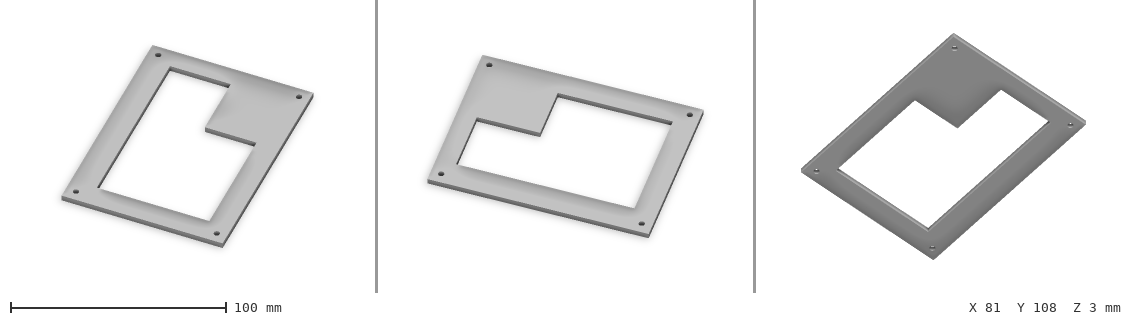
import cadquery as cq

width = 81.0
length = 108.0
thickness = 3.0

hole_diameter = 2.9
hole_inset = 5.1

left_margin = 13.0
right_margin = 11.5
bottom_margin = 11.2
top_margin = 9.7

corner_width = 26.0
corner_length = 30.9


def make_plate():
    return cq.Workplane("XY").box(width, length, thickness)


def make_window():
    """L-shaped through cutter: a rectangle without its +X +Y corner."""
    left = -width / 2 + left_margin
    right = width / 2 - right_margin
    bottom = -length / 2 + bottom_margin
    top = length / 2 - top_margin
    outline = [
        (left, bottom),
        (right, bottom),
        (right, top - corner_length),
        (right - corner_width, top - corner_length),
        (right - corner_width, top),
        (left, top),
    ]
    return (
        cq.Workplane("XY")
        .polyline(outline)
        .close()
        .extrude(thickness, both=True)
    )


def drill_corners(plate):
    return (
        plate.faces(">Z")
        .workplane()
        .rect(width - 2 * hole_inset, length - 2 * hole_inset, forConstruction=True)
        .vertices()
        .hole(hole_diameter)
    )


result = drill_corners(make_plate()).cut(make_window())